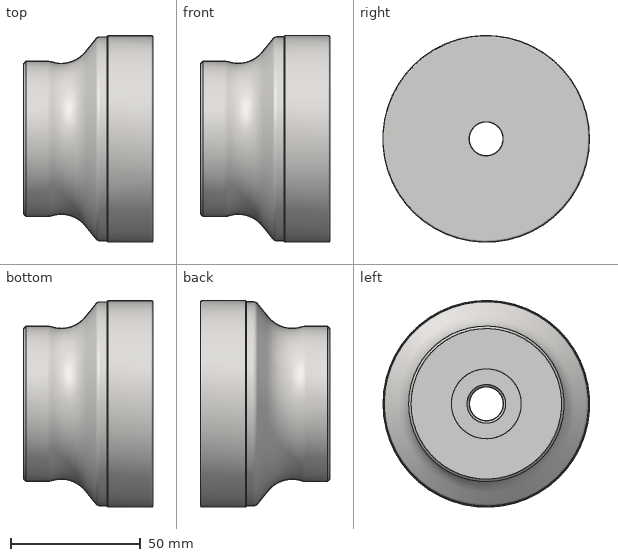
import cadquery as cq
import math

total_length = 50.0
flange_radius = 39.9
neck_radius = 30.0
collar_radius = 39.4

neck_chamfer = 0.95
flange_fillet = 0.7
step_chamfer = 0.3

flange_start = 32.3
neck_end = 9.3

neck_blend_radius = 5.0
waist_arc_radius = 12.0
waist_arc_x = 14.6
collar_blend_radius = 2.0
cone_angle = math.radians(51)

bore_diameter = 27.0
bore_depth = 30.0
hole_diameter = 13.0
hole_chamfer = 0.95


def point_on_arc(center, radius, angle):
    """Point at an angle from the outward radial direction, positive towards +X."""
    x = center[0] + radius * math.sin(angle)
    r = center[1] + radius * math.cos(angle)
    return (x, r)


def revolve_about_x(profile):
    """Turn a closed (axial, radial) outline into a solid around the X axis."""
    return profile.revolve(360, (0, 0, 0), (1, 0, 0))


def make_body():
    """Solid neck, waist, collar and flange, with the far rim of the flange rounded."""
    neck_blend_center = (neck_end, neck_radius - neck_blend_radius)
    center_distance = neck_blend_radius + waist_arc_radius
    neck_angle = math.asin((waist_arc_x - neck_end) / center_distance)
    waist_center = point_on_arc(neck_blend_center, center_distance, neck_angle)
    neck_blend_mid = point_on_arc(neck_blend_center, neck_blend_radius, neck_angle / 2)
    waist_start = point_on_arc(neck_blend_center, neck_blend_radius, neck_angle)
    waist_bottom = (waist_arc_x, waist_center[1] - waist_arc_radius)

    cone_start = point_on_arc(waist_center, waist_arc_radius, math.pi - cone_angle)
    collar_blend_r = collar_radius - collar_blend_radius
    cone_end_r = collar_blend_r + collar_blend_radius * math.cos(cone_angle)
    cone_end_x = cone_start[0] + (cone_end_r - cone_start[1]) / math.tan(cone_angle)
    collar_blend_x = cone_end_x + collar_blend_radius * math.sin(cone_angle)
    collar_blend_center = (collar_blend_x, collar_blend_r)
    collar_blend_mid = point_on_arc(collar_blend_center, collar_blend_radius, -cone_angle / 2)

    profile = (
        cq.Workplane("XY")
        .lineTo(0, neck_radius - neck_chamfer)
        .lineTo(neck_chamfer, neck_radius)
        .lineTo(neck_end, neck_radius)
        .threePointArc(neck_blend_mid, waist_start)
        .threePointArc(waist_bottom, cone_start)
        .lineTo(cone_end_x, cone_end_r)
        .threePointArc(collar_blend_mid, (collar_blend_x, collar_radius))
        .lineTo(flange_start, collar_radius)
        .lineTo(flange_start, flange_radius - step_chamfer)
        .lineTo(flange_start + step_chamfer, flange_radius)
        .lineTo(total_length, flange_radius)
        .lineTo(total_length, 0)
        .close()
    )
    body = revolve_about_x(profile)
    return body.faces(">X").edges().fillet(flange_fillet)


def make_bore():
    """Large blind bore from the neck face, then a chamfered hole through the flange."""
    bore_radius = bore_diameter / 2
    hole_radius = hole_diameter / 2
    profile = (
        cq.Workplane("XY")
        .lineTo(0, bore_radius)
        .lineTo(bore_depth, bore_radius)
        .lineTo(bore_depth, hole_radius + hole_chamfer)
        .lineTo(bore_depth + hole_chamfer, hole_radius)
        .lineTo(total_length, hole_radius)
        .lineTo(total_length, 0)
        .close()
    )
    return revolve_about_x(profile)


result = make_body().cut(make_bore())